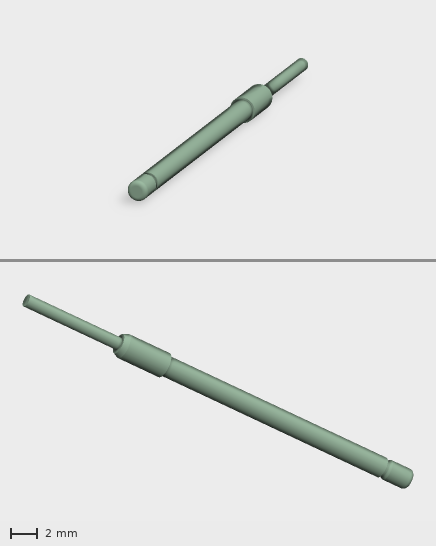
import cadquery as cq

total_length = 34.3
collar_start = 21.95
collar_end = 26.05
groove_start = 2.0
groove_floor_start = 2.2
groove_end = 2.45

collar_diameter = 2.0
barrel_diameter = 1.6
groove_diameter = 1.37
pin_diameter = 1.0

tip_radius = 0.35
collar_chamfer_length = 0.45
collar_chamfer_depth = 0.2

collar_radius = collar_diameter / 2
barrel_radius = barrel_diameter / 2
groove_radius = groove_diameter / 2
pin_radius = pin_diameter / 2


def make_probe():
    """Revolve the half outline about the Y axis."""
    outline = (
        cq.Workplane("XY")
        .lineTo(barrel_radius - tip_radius, 0)
        .radiusArc((barrel_radius, tip_radius), -tip_radius)
        .lineTo(barrel_radius, groove_start)
        .lineTo(groove_radius, groove_floor_start)
        .lineTo(groove_radius, groove_end)
        .lineTo(barrel_radius, groove_end)
        .lineTo(barrel_radius, collar_start)
        .lineTo(collar_radius, collar_start)
        .lineTo(collar_radius, collar_end - collar_chamfer_length)
        .lineTo(collar_radius - collar_chamfer_depth, collar_end)
        .lineTo(pin_radius, collar_end)
        .lineTo(pin_radius, total_length)
        .lineTo(0, total_length)
        .close()
    )
    return outline.revolve(360, (0, 0, 0), (0, 1, 0))


result = make_probe().translate((0, -total_length / 2, 0))